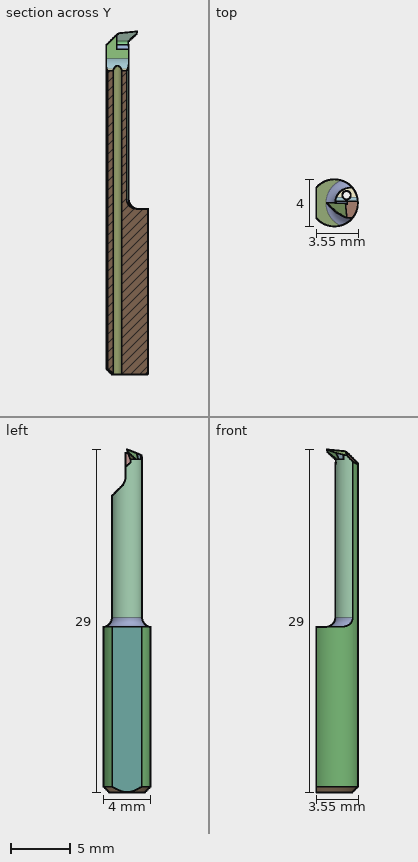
import cadquery as cq
import math

shank_radius = 2.0
shank_length = 14.0
flat_x = -1.55
end_chamfer = 0.5

overall_length = 29.0
neck_radius = 1.28
neck_x = 1.35
root_fillet = 0.8

coolant_diameter = 0.7
coolant_x = 1.03
coolant_y = 0.65

relief_y = 0.13
relief_start_z = 26.7
relief_radius = 1.2
relief_angle = math.radians(45)

tip_x = -0.65
tip_y = 0.02
tip_edge_height = 0.2
head_bottom_z = 28.15
top_slope_x = 0.09
top_slope_y = 0.29
corner_x = 0.92
corner_clearance = 0.2
tip_flank_point = (-0.45, -0.26)
side_flank_start = (0.0, -0.72)
side_flank_end = (0.77, -1.15)
flank_undercut = 0.15
underside_clearance = 0.27

groove_depth_y = -0.26
groove_bulge = 0.05
groove_upper_z = 28.2
groove_lower_z = 27.85
groove_exit_z = 27.5
groove_end_x = 1.1

cutter_size = 2 * overall_length
above_z = overall_length + 1.0
beyond_y = 2 * shank_radius


def cut_beyond(body, point, normal):
    """Remove everything on the side of the plane that the normal points to."""
    plane = cq.Plane(origin=point, normal=normal)
    cutter = cq.Workplane(plane).rect(cutter_size, cutter_size).extrude(cutter_size)
    return body.cut(cutter)


def cut_beyond_flank(body, start, end, undercut=0.0):
    """Remove the -X -Y side of a flank through two (x, y) points at full height."""
    length = math.dist(start, end)
    normal = ((end[1] - start[1]) / length, (start[0] - end[0]) / length, -undercut)
    return cut_beyond(body, (start[0], start[1], overall_length), normal)


def make_shank():
    shank = cq.Workplane("XY").circle(shank_radius).extrude(shank_length)
    shank = shank.faces("<Z").chamfer(end_chamfer)
    return cut_beyond(shank, (flat_x, 0, 0), (-1, 0, 0))


def make_neck():
    """Revolve the neck with its flared root; its foot overlaps the shank."""
    foot_z = shank_length / 2
    root_radius = neck_radius + root_fillet
    root_top_z = shank_length + root_fillet
    mid_offset = root_fillet * math.sin(math.radians(45))
    return (
        cq.Workplane("XZ")
        .moveTo(0, foot_z)
        .lineTo(neck_radius, foot_z)
        .lineTo(neck_radius, shank_length)
        .lineTo(root_radius, shank_length)
        .threePointArc((root_radius - mid_offset, root_top_z - mid_offset), (neck_radius, root_top_z))
        .lineTo(neck_radius, overall_length)
        .lineTo(0, overall_length)
        .close()
        .revolve(360, (0, 0, 0), (0, 1, 0))
        .translate((neck_x, 0, 0))
    )


def make_head():
    size_x = neck_x - tip_x
    size_y = relief_y - side_flank_end[1]
    head = cq.Workplane("XY").box(size_x, size_y, overall_length - head_bottom_z, centered=False)
    head = head.translate((tip_x, side_flank_end[1], head_bottom_z))
    head = cut_beyond_flank(head, (tip_x, tip_y), tip_flank_point)
    head = cut_beyond_flank(head, tip_flank_point, side_flank_start, flank_undercut)
    head = cut_beyond_flank(head, side_flank_start, side_flank_end)
    tip_low = (tip_x, tip_y, overall_length - tip_edge_height)
    return cut_beyond(head, tip_low, (-1, -underside_clearance, -1))


def cut_top(body):
    body = cut_beyond(body, (tip_x, tip_y, overall_length), (top_slope_x, -top_slope_y, 1))
    drop = top_slope_x * (corner_x - tip_x) - top_slope_y * (relief_y - tip_y)
    corner = (corner_x, relief_y, overall_length - drop)
    return cut_beyond(body, corner, (1, -corner_clearance, 1))


def cut_relief(body):
    arc_y = relief_radius * (1 - math.cos(relief_angle))
    arc_z = relief_radius * math.sin(relief_angle)
    mid_y = relief_radius * (1 - math.cos(relief_angle / 2))
    mid_z = relief_radius * math.sin(relief_angle / 2)
    run_y = beyond_y - relief_y - arc_y
    ramp_end_z = relief_start_z - arc_z - run_y / math.tan(relief_angle)
    cutter = (
        cq.Workplane("YZ")
        .moveTo(relief_y, above_z)
        .lineTo(relief_y, relief_start_z)
        .threePointArc((relief_y + mid_y, relief_start_z - mid_z), (relief_y + arc_y, relief_start_z - arc_z))
        .lineTo(beyond_y, ramp_end_z)
        .lineTo(beyond_y, above_z)
        .close()
        .extrude(2 * shank_radius, both=True)
    )
    return body.cut(cutter)


def cut_groove(body):
    rake_slope = (tip_y - groove_depth_y) / (overall_length - groove_upper_z)
    groove = (
        cq.Workplane("YZ", origin=(groove_end_x, 0, 0))
        .moveTo(tip_y + rake_slope * (above_z - overall_length), above_z)
        .lineTo(groove_depth_y, groove_upper_z)
        .threePointArc((groove_depth_y - groove_bulge, (groove_upper_z + groove_lower_z) / 2),
                       (groove_depth_y, groove_lower_z))
        .lineTo(relief_y, groove_exit_z)
        .lineTo(beyond_y, groove_exit_z)
        .lineTo(beyond_y, above_z)
        .close()
        .extrude(-2 * shank_radius)
    )
    return body.cut(groove)


def cut_coolant_hole(body):
    hole = cq.Workplane("XY").center(coolant_x, coolant_y).circle(coolant_diameter / 2).extrude(overall_length)
    return body.cut(hole)


envelope = cq.Workplane("XY").circle(shank_radius).extrude(overall_length)
result = make_shank().union(make_neck().intersect(envelope)).union(make_head())
result = cut_top(result)
result = cut_relief(result)
result = cut_groove(result)
result = cut_coolant_hole(result)